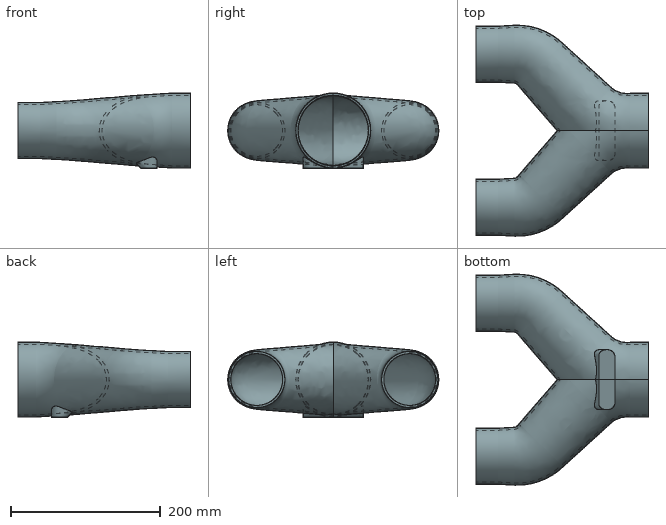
import cadquery as cq
import math

LENGTH = 230.0
INLET_DIAMETER = 75.0
INLET_BORE = 69.0
OUTLET_DIAMETER = 100.0
WALL = (INLET_DIAMETER - INLET_BORE) / 2

INLET_COLLAR = 29.9
OUTLET_COLLAR = 24.2
INLET_OFFSET = 102.0

INLET_BEND_RADIUS = 48.7
OUTLET_BEND_RADIUS = 80.3
LEG_ANGLE = math.radians(45.7)

FOOT_FRONT = 164.0
FOOT_BACK = 185.3
FOOT_HALF_WIDTH = 40.0
FOOT_BOTTOM = -50.5
FOOT_TOP = -25.3
FOOT_BACK_RADIUS = 9.9
FOOT_FRONT_RADIUS = 7.3

LEG_START = INLET_COLLAR
LEG_END = LENGTH - OUTLET_COLLAR


def leg_path():
    """Centreline of one leg, tangent to X at both ends."""
    outlet_bend_start = LEG_END - OUTLET_BEND_RADIUS * math.sin(LEG_ANGLE)
    outlet_bend_rise = OUTLET_BEND_RADIUS * (1 - math.cos(LEG_ANGLE))
    inlet_bend_drop = INLET_BEND_RADIUS * (1 - math.cos(LEG_ANGLE))
    inlet_bend_end_y = INLET_OFFSET - inlet_bend_drop
    diagonal_length_x = (inlet_bend_end_y - outlet_bend_rise) / math.tan(LEG_ANGLE)
    inlet_bend_end = outlet_bend_start - diagonal_length_x
    inlet_bend_start = inlet_bend_end - INLET_BEND_RADIUS * math.sin(LEG_ANGLE)
    return (
        cq.Workplane("XY")
        .moveTo(LEG_START, INLET_OFFSET)
        .lineTo(inlet_bend_start, INLET_OFFSET)
        .tangentArcPoint((inlet_bend_end, inlet_bend_end_y), relative=False)
        .lineTo(outlet_bend_start, outlet_bend_rise)
        .tangentArcPoint((LEG_END, 0), relative=False)
    )


def cylinder_along_x(start, length, y, radius):
    return cq.Workplane("YZ", origin=(start, y, 0)).circle(radius).extrude(length)


def pipe(inset):
    """Solid of one leg with both collars, its radii reduced by inset."""
    inlet_radius = INLET_DIAMETER / 2 - inset
    outlet_radius = OUTLET_DIAMETER / 2 - inset
    leg = (
        cq.Workplane("YZ", origin=(LEG_START, INLET_OFFSET, 0))
        .circle(inlet_radius)
        .workplane(offset=LEG_END - LEG_START)
        .center(-INLET_OFFSET, 0)
        .circle(outlet_radius)
        .sweep(leg_path(), multisection=True)
    )
    inlet_collar = cylinder_along_x(0, INLET_COLLAR, INLET_OFFSET, inlet_radius)
    outlet_collar = cylinder_along_x(LEG_END, OUTLET_COLLAR, 0, outlet_radius)
    return leg.union(inlet_collar).union(outlet_collar)


def foot():
    """Block with a 45 degree front face and rounded corners."""
    front_run = FOOT_TOP - FOOT_BOTTOM
    return (
        cq.Workplane("XZ")
        .moveTo(FOOT_FRONT, FOOT_BOTTOM)
        .lineTo(FOOT_BACK, FOOT_BOTTOM)
        .lineTo(FOOT_BACK, FOOT_TOP)
        .lineTo(FOOT_FRONT - front_run, FOOT_TOP)
        .close()
        .extrude(FOOT_HALF_WIDTH, both=True)
        .edges("not (#Z or |Z)")
        .fillet(FOOT_FRONT_RADIUS)
        .edges("|Z")
        .fillet(FOOT_BACK_RADIUS)
    )


def left_half():
    """Half on the +Y side of the parting plane."""
    half_space = cq.Workplane("XY").box(
        LENGTH, LENGTH, LENGTH, centered=(False, False, True)
    )
    return pipe(0).union(foot()).cut(pipe(WALL)).intersect(half_space).solids()


left = left_half()
right = left.mirror("XZ").solids()

result = cq.Compound.makeCompound([left.val(), right.val()])